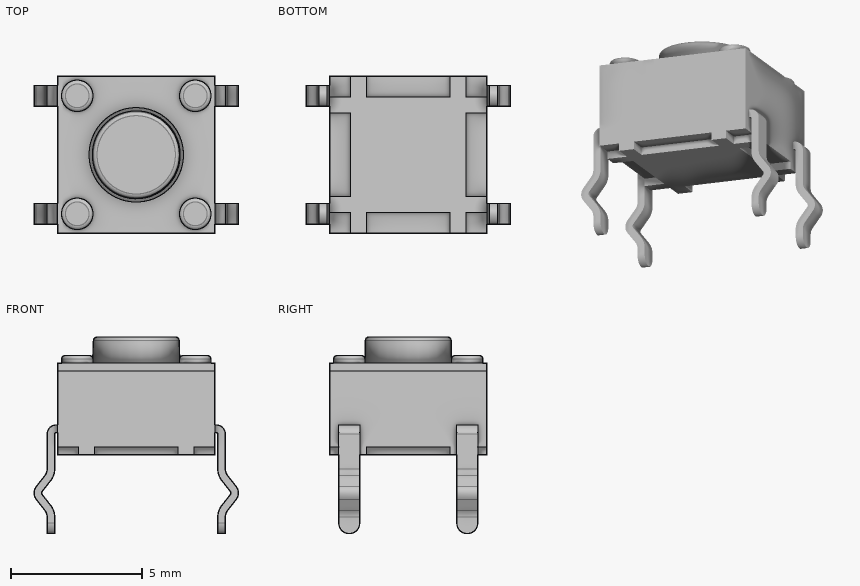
import cadquery as cq
import math


overall_width = 7.8
body_side = 6.0
body_height = 3.5
cover_thickness = 0.3
base_height = body_height - cover_thickness

foot_height = 0.3
foot_width = 0.6
corner_notch = 0.8
side_notch_width = body_side - 2 * (corner_notch + foot_width)
side_notch_depth = corner_notch

peg_spacing = 4.5
peg_diameter = 1.2
peg_height = 0.3
peg_round = 0.15

button_hole_diameter = 3.6
button_bottom_radius = 1.68
button_top_radius = 1.64
button_rise = 1.0
button_round = 0.15

leg_spacing = peg_spacing
leg_thickness = 0.3
leg_width = 0.8
leg_drop = 3.0
leg_center_x = 3.25
neck_height = 1.0
kink_height = 1.55
kink_angle = math.radians(38.0)

neck_bend_radius = 0.2
kink_end_radius = 0.545
kink_apex_radius = 0.25


def make_kink_steps():
    """Return (dx, dz) of the end bend, the slanted stretch and half the apex bend."""
    end_step = (kink_end_radius * (1 - math.cos(kink_angle)), kink_end_radius * math.sin(kink_angle))
    apex_step = (kink_apex_radius * (1 - math.cos(kink_angle)), kink_apex_radius * math.sin(kink_angle))
    kink_reach = overall_width / 2 - leg_thickness / 2 - leg_center_x
    slant_dx = kink_reach - end_step[0] - apex_step[0]
    slant_step = (slant_dx, slant_dx / math.tan(kink_angle))
    return end_step, slant_step, apex_step


def make_leg():
    """One leg on the +X side, centred on Y = 0: a bent strip with a round-ended tip."""
    (end_dx, end_dz), (slant_dx, slant_dz), (_, apex_dz) = make_kink_steps()
    kink_z = kink_height - leg_drop
    kink_half_height = end_dz + slant_dz + apex_dz
    kink_top_z = kink_z + kink_half_height
    kink_bottom_z = kink_z - kink_half_height

    path = (
        cq.Workplane("XZ")
        .moveTo(body_side / 2, neck_height)
        .lineTo(leg_center_x - neck_bend_radius, neck_height)
        .tangentArcPoint((neck_bend_radius, -neck_bend_radius))
        .lineTo(leg_center_x, kink_top_z)
        .tangentArcPoint((end_dx, -end_dz))
        .line(slant_dx, -slant_dz)
        .tangentArcPoint((0, -2 * apex_dz))
        .line(-slant_dx, -slant_dz)
        .tangentArcPoint((-end_dx, -end_dz))
    )
    strip = (
        cq.Workplane("YZ", origin=(body_side / 2, 0, neck_height))
        .rect(leg_width, leg_thickness)
        .sweep(path)
    )

    tip_radius = leg_width / 2
    tip_center_z = tip_radius - leg_drop
    tip = (
        cq.Workplane("YZ", origin=(leg_center_x - leg_thickness / 2, 0, 0))
        .moveTo(-tip_radius, kink_bottom_z)
        .lineTo(-tip_radius, tip_center_z)
        .threePointArc((0, -leg_drop), (tip_radius, tip_center_z))
        .lineTo(tip_radius, kink_bottom_z)
        .close()
        .extrude(leg_thickness)
    )
    return strip.union(tip)


def make_foot_notches():
    """Recesses under the base that leave the feet: one per corner and one per side."""
    center_to_corner = (body_side - corner_notch) / 2
    center_to_side = (body_side - side_notch_depth) / 2
    corners = cq.Workplane("XY").rect(2 * center_to_corner, 2 * center_to_corner, forConstruction=True)
    notches = corners.vertices().rect(corner_notch, corner_notch).extrude(foot_height)
    side_notch = (
        cq.Workplane("XY")
        .center(0, -center_to_side)
        .rect(side_notch_width, side_notch_depth)
        .extrude(foot_height)
    )
    for angle in (0, 90, 180, 270):
        notches = notches.add(side_notch.rotate((0, 0, 0), (0, 0, 1), angle))
    return notches.combine()


def make_base():
    """Square base with feet below and two legs on each X side."""
    base = cq.Workplane("XY").rect(body_side, body_side).extrude(base_height)
    base = base.cut(make_foot_notches())
    right_leg = make_leg()
    left_leg = right_leg.mirror("YZ")
    for leg in (right_leg, left_leg):
        for y in (-leg_spacing / 2, leg_spacing / 2):
            base = base.union(leg.translate((0, y, 0)))
    return base


def make_cover():
    """Square cover plate with the button hole and a rounded peg near each corner."""
    plate = (
        cq.Workplane("XY", origin=(0, 0, base_height))
        .rect(body_side, body_side)
        .extrude(cover_thickness)
        .faces(">Z")
        .workplane()
        .hole(button_hole_diameter)
    )
    pegs = (
        cq.Workplane("XY", origin=(0, 0, body_height))
        .rect(peg_spacing, peg_spacing, forConstruction=True)
        .vertices()
        .circle(peg_diameter / 2)
        .extrude(peg_height)
        .faces(">Z")
        .edges()
        .fillet(peg_round)
    )
    return plate.union(pegs)


def make_button():
    """Tapered round button standing on the base inside the cover hole."""
    cone = cq.Solid.makeCone(
        button_bottom_radius,
        button_top_radius,
        cover_thickness + button_rise,
        pnt=cq.Vector(0, 0, base_height),
    )
    return cq.Workplane("XY").add(cone).faces(">Z").edges().fillet(button_round)


base = make_base()
cover = make_cover()
button = make_button()

result = cq.Compound.makeCompound([body.solids().val() for body in (base, cover, button)])